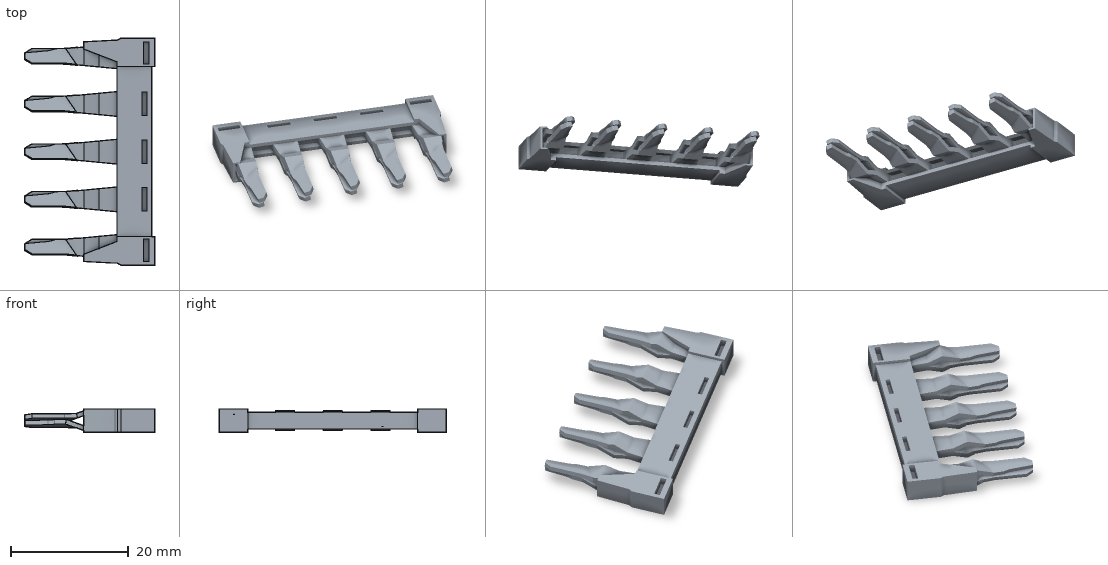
import cadquery as cq
import math


total_length = 22.12
total_width = 38.6
cap_height = 4.0

spine_front = 15.65
spine_back = 21.6
spine_height = 2.88
bar_front = 16.8
root_fillet = 0.4

cap_front = 10.0
cap_inner_y = 14.42
cap_cheek_end = 15.27
cap_nose_inner_y = 17.44
cap_nose_outer_y = 18.67
cap_shoulder_y = 18.95
cap_shoulder_start = 15.35
cap_shoulder_end = 15.74
cap_full_width_x = 16.38
cap_wall = 0.37
cap_cavity_height = 3.5
cap_cavity_end_y = 18.0

spine_pocket_x = (19.97, 20.75)
cap_pocket_x = (20.15, 21.15)
spine_pocket_width = 4.0
cap_pocket_width = 3.8
cap_pocket_center_y = 16.76
spine_pocket_depth = 1.2
cap_pocket_depth = 1.5

prong_count = 5
prong_pitch = 8.1
sheet = 0.8
blade_tilt = 13.8
blade_gap = 0.16
bulge_x = 10.08
bulge_top = 1.7
bulge_end = 12.6
root_half_width = 2.12
bulge_half_width = 1.59
leg_start = 6.0
blade_end = 9.5
blade_tip_y = (-0.62, 0.38)
blade_tip_radius = 0.2
blade_wide_y = -1.4
blade_wide_start = 1.25
blade_wide_end = 6.75
blade_end_y = (-1.68, 1.37)
blade_narrow_end = (3.95, 0.75)
blade_swell_mid = (4.55, 0.88)
blade_swell_end = (5.1, 1.08)

half_width = total_width / 2
side_taper = (root_half_width - bulge_half_width) / (spine_front - bulge_x)
bulge_slope = (bulge_top - sheet) / (bulge_end - bulge_x)
leg_thickness_z = sheet * math.hypot(1, bulge_slope)
cut_size = 20.0


def prism(points, z_low, z_high):
    """Plan outline (X, Y) extruded between two heights."""
    return cq.Workplane("XY").workplane(offset=z_low).polyline(points).close().extrude(z_high - z_low)


def side_prism(points, half_span):
    """Side outline (X, Z) extruded equally to both sides of the XZ plane."""
    return cq.Workplane("XZ").polyline(points).close().extrude(half_span, both=True)


def block(x_range, y_range, z_range):
    """Axis-aligned box from its limits."""
    size = [high - low for low, high in (x_range, y_range, z_range)]
    corner = (x_range[0], y_range[0], z_range[0])
    return cq.Workplane("XY").box(*size, centered=False).translate(corner)


def half_width_at(x):
    """Half width of the tapered prong at a distance from the tip."""
    return root_half_width - side_taper * (spine_front - x)


def tilted(body):
    """Lean a blade about the prong axis, its -Y edge upward."""
    return body.rotate((0, 0, 0), (1, 0, 0), -blade_tilt)


def behind_fold():
    """Everything behind the miter plane where the tilted blade bends into the ramp."""
    tilt = math.radians(blade_tilt)

    def fold_point(height_in_blade, ramp_drop, y):
        z = height_in_blade / math.cos(tilt) - y * math.tan(tilt)
        x = bulge_x - (bulge_top - ramp_drop - z) / bulge_slope
        return cq.Vector(x, y, z)

    outer_center = fold_point(blade_gap / 2 + sheet, 0, 0)
    fold_direction = fold_point(blade_gap / 2 + sheet, 0, 1) - outer_center
    inner_center = fold_point(blade_gap / 2, leg_thickness_z, 0)
    normal = fold_direction.cross(outer_center - inner_center)
    if normal.x < 0:
        normal = normal * -1
    miter = cq.Plane(origin=outer_center, xDir=fold_direction, normal=normal)
    return cq.Workplane(miter).rect(2 * cut_size, 2 * cut_size).extrude(cut_size)


def make_leg():
    """Upper sheet behind the blade: ramp up to the bulge, slope down and flat root."""
    drop = bulge_slope * (bulge_x - leg_start)
    inner_bulge = bulge_top - leg_thickness_z
    inner_end = bulge_x + inner_bulge / bulge_slope
    side = [
        (leg_start, bulge_top - drop),
        (bulge_x, bulge_top),
        (bulge_end, sheet),
        (bar_front, sheet),
        (bar_front, 0),
        (inner_end, 0),
        (bulge_x, inner_bulge),
        (leg_start, inner_bulge - drop),
    ]
    start_half = half_width_at(leg_start)
    end_half = half_width_at(bar_front)
    plan = [
        (leg_start, -start_half),
        (bar_front, -end_half),
        (bar_front, end_half),
        (leg_start, start_half),
    ]
    leg = side_prism(side, cut_size).intersect(prism(plan, -cap_height, cap_height))
    return leg.intersect(behind_fold())


def make_blade():
    """Tilted end of the upper sheet, slimmer on its +Y edge towards the tip."""
    plate = (
        cq.Workplane("XY")
        .workplane(offset=blade_gap / 2)
        .moveTo(0, blade_tip_y[0])
        .lineTo(blade_wide_start, blade_wide_y)
        .lineTo(blade_wide_end, blade_wide_y)
        .lineTo(blade_end, blade_end_y[0])
        .lineTo(blade_end, blade_end_y[1])
        .lineTo(*blade_swell_end)
        .threePointArc(blade_swell_mid, blade_narrow_end)
        .lineTo(0, blade_tip_y[1])
        .close()
        .extrude(sheet)
    )
    blade = tilted(plate.faces("<X").edges("|Z").fillet(blade_tip_radius))
    return blade.cut(behind_fold())


def make_prong():
    """Both sheets; the lower one is the upper one turned half a turn about the prong axis."""
    upper = make_leg().union(make_blade())
    return upper.union(upper.rotate((0, 0, 0), (1, 0, 0), 180))


def make_root_fillet(side):
    """Rounded inner corner between a prong side (+1 or -1 in Y) and the contact bar."""
    y = side * half_width_at(bar_front)
    center_x = bar_front - root_fillet
    center_y = y + side * root_fillet
    mid = root_fillet * math.sqrt(0.5)
    return (
        cq.Workplane("XY")
        .workplane(offset=-sheet)
        .moveTo(bar_front, y - side * root_fillet)
        .lineTo(center_x, y - side * root_fillet)
        .lineTo(center_x, y)
        .threePointArc((center_x + mid, center_y - side * mid), (bar_front, center_y))
        .close()
        .extrude(2 * sheet)
    )


def make_spine():
    """Bar-shaped housing, grooved along its front where the contact bar lies back."""
    spine_z = (-spine_height / 2, spine_height / 2)
    spine = block((spine_front, spine_back), (-cap_inner_y, cap_inner_y), spine_z)
    groove = block((spine_front, bar_front), (-cap_inner_y, cap_inner_y), (-sheet, sheet))
    return spine.cut(groove)


def make_cap():
    """End cap on the +Y side, with a flared mouth around the prong."""
    plan = [
        (cap_front, cap_nose_inner_y),
        (cap_front, cap_nose_outer_y),
        (cap_shoulder_start, cap_shoulder_y),
        (cap_shoulder_end, cap_shoulder_y),
        (cap_full_width_x, half_width),
        (total_length, half_width),
        (total_length, cap_inner_y),
        (spine_front, cap_inner_y),
        (spine_front, cap_cheek_end),
    ]
    cap = prism(plan, -cap_height / 2, cap_height / 2)
    mouth_side = [
        (cap_front, cap_cavity_height / 2),
        (bulge_end, sheet),
        (bulge_end, -sheet),
        (cap_front, -cap_cavity_height / 2),
    ]
    mouth_plan = [
        (cap_front, cap_inner_y),
        (cap_front, cap_nose_outer_y - cap_wall),
        (bulge_end, cap_cavity_end_y),
        (bulge_end, cap_inner_y),
    ]
    mouth = side_prism(mouth_side, half_width).intersect(prism(mouth_plan, -cap_height, cap_height))
    return cap.cut(mouth)


def make_pocket(x_range, center_y, width, top, depth):
    """Rectangular marker pocket sunk from a top face."""
    y_range = (center_y - width / 2, center_y + width / 2)
    return block(x_range, y_range, (top - depth, top))


cap = make_cap()
result = make_spine().union(cap).union(cap.mirror("XZ"))

prong = make_prong()
for side in (-1, 1):
    prong = prong.union(make_root_fillet(side))

for index in range(prong_count):
    prong_y = (index - (prong_count - 1) / 2) * prong_pitch
    result = result.union(prong.translate((0, prong_y, 0)))

for index in range(1, prong_count - 1):
    pocket_y = (index - (prong_count - 1) / 2) * prong_pitch
    pocket = make_pocket(spine_pocket_x, pocket_y, spine_pocket_width, spine_height / 2, spine_pocket_depth)
    result = result.cut(pocket)

for side in (-1, 1):
    pocket_y = side * cap_pocket_center_y
    pocket = make_pocket(cap_pocket_x, pocket_y, cap_pocket_width, cap_height / 2, cap_pocket_depth)
    result = result.cut(pocket)